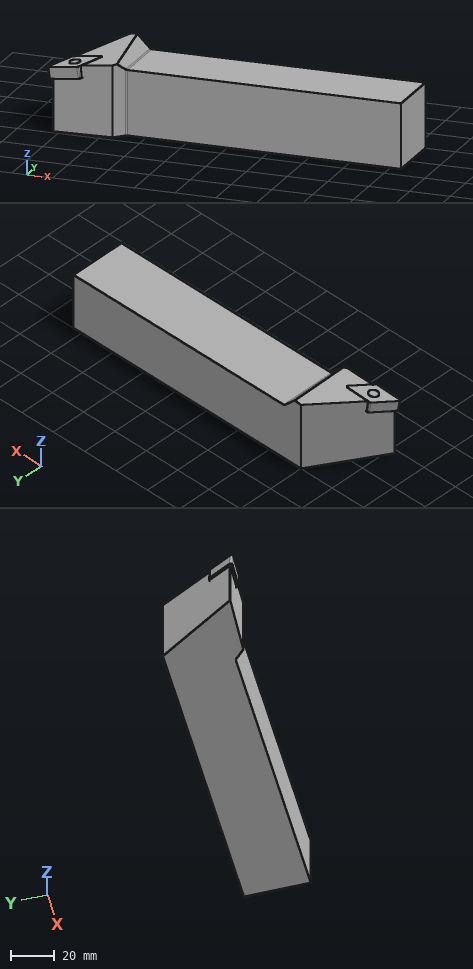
import cadquery as cq
import math

length = 170.7
shank_size = 32.0
top_height = 38.6

neck_x = 35.9
neck_radius = 1.0
flank_run = 5.0
lead_angle = 3.0
back_corner_x = 25.3
nose_x = 1.9
nose_side_y = -6.0
nose_front_x = 2.4

rise_x = 0.1
rise_y = 0.1

insert_x = 11.0
insert_y = -1.4
insert_angle = 55.0
insert_width = 12.6
insert_thickness = 6.0
insert_nose_radius = 0.9
hole_diameter = 5.1

margin = 17.0

ridge_x = neck_x - (top_height - shank_size)
flank_x = neck_x - flank_run
front_rise = math.tan(math.radians(lead_angle))
nose_front_y = -flank_run - front_rise * (flank_x - nose_front_x)

half_bend = math.radians(45.0 / 2)

blend_reach = neck_radius * math.tan(half_bend)
blend_diagonal = blend_reach * math.sqrt(0.5)
blend_mid = neck_radius * (1 - math.cos(half_bend))
blend_mid_x = blend_reach - neck_radius * math.sin(half_bend)


def top_z(x, y):
    """Height of the tilted top face at a point."""
    return top_height + rise_x * (x - ridge_x) + rise_y * (y - shank_size)


def tilted_plane(x, y):
    """Work plane lying in the top face, with its X axis above the global X axis."""
    return cq.Plane(origin=(x, y, top_z(x, y)), xDir=(1, 0, rise_x), normal=(-rise_x, -rise_y, 1))


def plan_prism():
    """Holder outline seen from above, raised to the full height."""
    return (
        cq.Workplane("XY")
        .moveTo(length, 0)
        .lineTo(length, shank_size)
        .lineTo(back_corner_x, shank_size)
        .lineTo(nose_x, nose_side_y)
        .lineTo(nose_front_x, nose_front_y)
        .lineTo(flank_x, -flank_run)
        .lineTo(neck_x - blend_diagonal, -blend_diagonal)
        .threePointArc((neck_x + blend_mid_x, -blend_mid), (neck_x + blend_reach, 0))
        .close()
        .extrude(top_height)
    )


def side_prism():
    """Side profile with the slope that rises from the shank to the head."""
    return (
        cq.Workplane("XZ", origin=(0, shank_size, 0))
        .lineTo(length, 0)
        .lineTo(length, shank_size)
        .lineTo(neck_x + blend_reach, shank_size)
        .threePointArc(
            (neck_x + blend_mid_x, shank_size + blend_mid),
            (neck_x - blend_diagonal, shank_size + blend_diagonal),
        )
        .lineTo(ridge_x, top_height)
        .lineTo(0, top_height)
        .close()
        .extrude(shank_size + margin)
    )


def rhombus_block():
    """Insert without its hole, hanging below the tilted top face."""
    side = insert_width / math.sin(math.radians(insert_angle))
    first = math.radians(lead_angle)
    second = math.radians(lead_angle + insert_angle)
    ux, uy = side / 2 * math.cos(first), side / 2 * math.sin(first)
    vx, vy = side / 2 * math.cos(second), side / 2 * math.sin(second)
    corners = [(-ux - vx, -uy - vy), (ux - vx, uy - vy), (ux + vx, uy + vy), (vx - ux, vy - uy)]
    top_plane = tilted_plane(insert_x, insert_y)
    return (
        cq.Workplane(top_plane)
        .polyline(corners)
        .close()
        .extrude(-insert_thickness)
        .edges(cq.ParallelDirSelector(top_plane.zDir))
        .fillet(insert_nose_radius)
    )


def insert_pin():
    """Locating pin that fills the insert's hole, flush with the top face."""
    return (
        cq.Workplane(tilted_plane(insert_x, insert_y))
        .circle(hole_diameter / 2)
        .extrude(-insert_thickness)
    )


def above_top_face():
    """Block of material to remove from the head, over the tilted top face."""
    half_size = neck_x + margin
    return cq.Workplane(tilted_plane(0, 0)).rect(2 * half_size, 2 * half_size).extrude(margin)


def make_insert():
    """Rhombus insert with a through hole."""
    return rhombus_block().cut(insert_pin())


def make_holder():
    """Shank and head in one piece, with the insert pocket and its pin."""
    body = plan_prism().intersect(side_prism()).cut(above_top_face())
    pocketed_body = body.cut(rhombus_block())
    return pocketed_body.union(insert_pin())


holder = make_holder()
cutting_insert = make_insert()
result = cq.Compound.makeCompound([holder.val(), cutting_insert.val()])